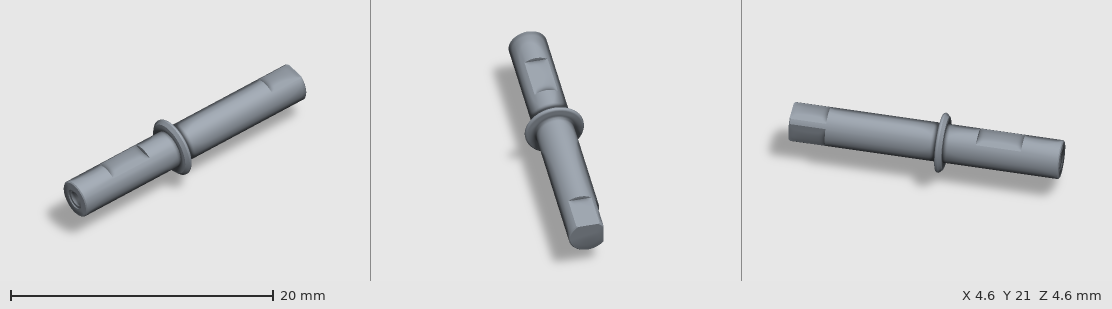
import cadquery as cq
import math

length = 21.0
shaft_diameter = 3.0
shaft_radius = shaft_diameter / 2
end_chamfer = 0.08

flange_radius = 2.3
flange_front = 8.99
flange_thickness = 0.5
flange_bevel = 0.25
flange_rim_radius = 0.17
flange_root_radius = 0.15

flat_distance = 1.2
front_flat_start = 2.98
front_flat_length = 3.5
rear_flat_length = 2.85

hole_radius = 0.6
hole_depth = 3.0
counterbore_radius = 0.82
counterbore_depth = 0.1
drill_tip_angle = 118.0


def revolve_about_shaft(profile):
    return profile.close().revolve(360, (0, 0, 0), (0, 1, 0))


def shaft_body():
    shaft = cq.Workplane("XZ").circle(shaft_radius).extrude(-length)
    return shaft.edges("%CIRCLE").chamfer(end_chamfer)


def flange_body():
    """Flange as a half section of radius against Y, revolved about the shaft axis."""
    rear = flange_front + flange_thickness
    profile = (
        cq.Workplane("XY")
        .moveTo(0, flange_front)
        .lineTo(flange_radius - flange_bevel, flange_front)
        .lineTo(flange_radius, flange_front + flange_bevel)
        .lineTo(flange_radius, rear - flange_rim_radius)
        .tangentArcPoint((flange_radius - flange_rim_radius, rear), relative=False)
        .lineTo(shaft_radius + flange_root_radius, rear)
        .tangentArcPoint((shaft_radius, rear + flange_root_radius), relative=False)
        .lineTo(0, rear + flange_root_radius)
    )
    return revolve_about_shaft(profile)


def flat_cutter(start, flat_length):
    """Block that leaves a flat facing +Z."""
    width = 2 * shaft_radius
    height = shaft_radius
    block = cq.Workplane("XY").box(width, flat_length, height, centered=(True, False, False))
    return block.translate((0, start, flat_distance))


def hole_cutter():
    """Counterbored drilled hole with a conical bottom."""
    tip_depth = hole_radius / math.tan(math.radians(drill_tip_angle / 2))
    profile = [
        (0, 0),
        (counterbore_radius, 0),
        (counterbore_radius, counterbore_depth),
        (hole_radius, counterbore_depth),
        (hole_radius, hole_depth),
        (0, hole_depth + tip_depth),
    ]
    return revolve_about_shaft(cq.Workplane("XY").polyline(profile))


front_flat = flat_cutter(front_flat_start, front_flat_length)
rear_top_flat = flat_cutter(length - rear_flat_length, rear_flat_length)
rear_side_flat = rear_top_flat.rotate((0, 0, 0), (0, 1, 0), -90)

result = shaft_body().union(flange_body())
for cutter in (front_flat, rear_top_flat, rear_side_flat, hole_cutter()):
    result = result.cut(cutter)